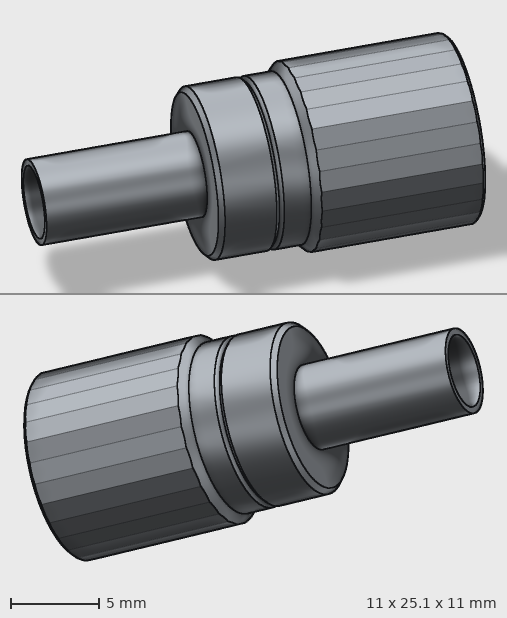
import cadquery as cq


HEAD_DIAMETER = 11.0
HEAD_FACETS = 28
HEAD_LENGTH = 10.2
HEAD_BACK_CHAMFER = 0.2

COLLAR_DIAMETER = 10.0
COLLAR_LENGTH = 5.4
COLLAR_CHAMFER = 0.3
GROOVE_DEPTH = 0.22
GROOVE_FROM_HEAD = 1.82

TOTAL_LENGTH = 25.09
TUBE_DIAMETER = 4.95
BORE_DIAMETER = 4.2
STUB_BASE_DIAMETER = 3.95
STUB_DIAMETER = 3.65
STUB_TIP_DIAMETER = 3.35
STUB_LENGTH = 1.0

HEAD_RADIUS = HEAD_DIAMETER / 2
COLLAR_RADIUS = COLLAR_DIAMETER / 2
BODY_LENGTH = HEAD_LENGTH + COLLAR_LENGTH


def revolve_profile(points):
    """Turn a closed outline of (radius, distance from the back) about the Y axis."""
    outline = cq.Workplane("YZ").polyline([(-distance, radius) for radius, distance in points]).close()
    return outline.revolve(360, (0, 0, 0), (1, 0, 0))


def make_head():
    """Faceted grip with conical chamfers at both ends."""
    front_chamfer = HEAD_RADIUS - COLLAR_RADIUS
    prism = cq.Workplane("XZ").polygon(HEAD_FACETS, HEAD_DIAMETER).extrude(HEAD_LENGTH)
    envelope = revolve_profile([
        (0, 0),
        (HEAD_RADIUS - HEAD_BACK_CHAMFER, 0),
        (HEAD_RADIUS, HEAD_BACK_CHAMFER),
        (HEAD_RADIUS, HEAD_LENGTH - front_chamfer),
        (COLLAR_RADIUS, HEAD_LENGTH),
        (0, HEAD_LENGTH),
    ])
    return prism.intersect(envelope)


def make_collar():
    """Round collar with a V groove and a chamfered front edge."""
    groove = HEAD_LENGTH + GROOVE_FROM_HEAD
    return revolve_profile([
        (0, HEAD_LENGTH),
        (COLLAR_RADIUS, HEAD_LENGTH),
        (COLLAR_RADIUS, groove - GROOVE_DEPTH),
        (COLLAR_RADIUS - GROOVE_DEPTH, groove),
        (COLLAR_RADIUS, groove + GROOVE_DEPTH),
        (COLLAR_RADIUS, BODY_LENGTH - COLLAR_CHAMFER),
        (COLLAR_RADIUS - COLLAR_CHAMFER, BODY_LENGTH),
        (0, BODY_LENGTH),
    ])


def make_tube():
    """Thin tube, open to the front and closed by the collar."""
    tube_radius = TUBE_DIAMETER / 2
    bore_radius = BORE_DIAMETER / 2
    return revolve_profile([
        (bore_radius, BODY_LENGTH),
        (tube_radius, BODY_LENGTH),
        (tube_radius, TOTAL_LENGTH),
        (bore_radius, TOTAL_LENGTH),
    ])


def make_stub():
    """Short stub on the bore floor with a 45 degree foot and a 45 degree tip."""
    base_radius = STUB_BASE_DIAMETER / 2
    radius = STUB_DIAMETER / 2
    tip_radius = STUB_TIP_DIAMETER / 2
    tip = BODY_LENGTH + STUB_LENGTH
    return revolve_profile([
        (0, BODY_LENGTH),
        (base_radius, BODY_LENGTH),
        (radius, BODY_LENGTH + base_radius - radius),
        (radius, tip - (radius - tip_radius)),
        (tip_radius, tip),
        (0, tip),
    ])


result = make_head().union(make_collar()).union(make_tube()).union(make_stub())